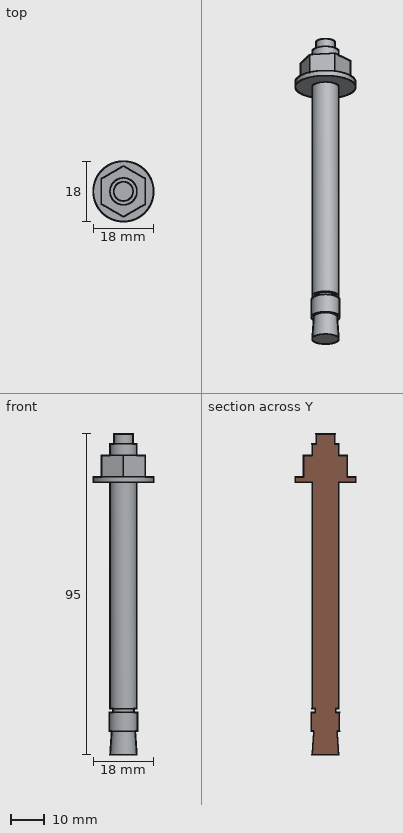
import cadquery as cq
import math

total_length = 95.0

shaft_diameter = 8.0
tip_diameter = 5.7
neck_diameter = 6.3
collar_diameter = 8.5
cone_top_diameter = 7.0
cone_bottom_diameter = shaft_diameter
washer_diameter = 18.0
nut_across_flats = 13.0

tip_length = 2.9
thread_above_nut = 3.4
nut_height = 6.4
washer_thickness = 1.6
cone_length = 7.0
collar_length = 5.5
neck_length = 1.1

collar_top = cone_length + collar_length
shaft_bottom = collar_top + neck_length
shaft_top = total_length - tip_length
nut_top = shaft_top - thread_above_nut
nut_bottom = nut_top - nut_height
washer_bottom = nut_bottom - washer_thickness


def cylinder(diameter, bottom, top):
    """Round section on the Z axis between two levels."""
    return cq.Workplane("XY").workplane(offset=bottom).circle(diameter / 2).extrude(top - bottom)


def expansion_cone():
    """Tapered end, widest at the bottom face."""
    return (
        cq.Workplane("XZ")
        .lineTo(cone_bottom_diameter / 2, 0)
        .lineTo(cone_top_diameter / 2, cone_length)
        .lineTo(0, cone_length)
        .close()
        .revolve(360, (0, 0, 0), (0, 1, 0))
    )


def hex_nut():
    """Hexagon with two corners on the Y axis and two flats facing X."""
    across_corners = nut_across_flats / math.cos(math.pi / 6)
    return (
        cq.Workplane("XY")
        .workplane(offset=nut_bottom)
        .transformed(rotate=(0, 0, 90))
        .polygon(6, across_corners)
        .extrude(nut_height)
    )


bolt = (
    expansion_cone()
    .union(cylinder(collar_diameter, cone_length, collar_top))
    .union(cylinder(neck_diameter, collar_top, shaft_bottom))
    .union(cylinder(shaft_diameter, shaft_bottom, shaft_top))
    .union(cylinder(tip_diameter, shaft_top, total_length))
)
washer = cylinder(washer_diameter, washer_bottom, nut_bottom)

result = bolt.union(washer).union(hex_nut())